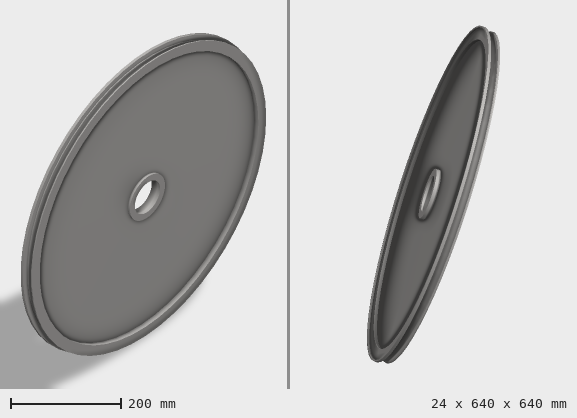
import cadquery as cq

width = 24.0
outer_radius = 320.0
right_flange_radius = 316.0

left_flange_width = 6.0
right_flange_width = 4.0
lip_inner_radius = 317.1
lip_depth = 4.0
right_chamfer = 1.6
shoulder_radius = 309.0
shoulder_width = 2.0
groove_floor_radius = 299.5

rim_inner_radius = 295.0
hub_radius = 47.5
bore_radius = 34.0
recess_depth_at_rim = 10.0
recess_depth_at_hub = 9.0
hub_setback = 4.0

left_face = -width / 2
right_face = width / 2
groove_left = left_face + left_flange_width
groove_right = right_face - right_flange_width
groove_start = groove_left + shoulder_width
groove_middle = (groove_start + groove_right) / 2
groove_edge_radius = groove_floor_radius + (groove_right - groove_start) / 2


def make_wheel():
    """Revolve the solid disc and its grooved rim about the X axis."""
    profile = (
        cq.Workplane("XY")
        .moveTo(left_face, bore_radius)
        .lineTo(left_face, hub_radius)
        .lineTo(left_face + lip_depth, hub_radius)
        .lineTo(left_face + lip_depth, lip_inner_radius)
        .lineTo(left_face, lip_inner_radius)
        .lineTo(left_face, outer_radius)
        .lineTo(groove_left, outer_radius)
        .lineTo(groove_left, shoulder_radius)
        .lineTo(groove_start, shoulder_radius)
        .lineTo(groove_start, groove_edge_radius)
        .threePointArc((groove_middle, groove_floor_radius), (groove_right, groove_edge_radius))
        .lineTo(groove_right, right_flange_radius - right_chamfer)
        .lineTo(groove_right + right_chamfer, right_flange_radius)
        .lineTo(right_face, right_flange_radius)
        .lineTo(right_face, bore_radius)
        .close()
    )
    return profile.revolve(360, (0, 0, 0), (1, 0, 0))


def make_recess(face, inward):
    """Make the ring between hub and rim, deeper at the rim so the web thins slightly outward."""
    profile = (
        cq.Workplane("XY")
        .moveTo(face, hub_radius)
        .lineTo(face + inward * recess_depth_at_hub, hub_radius)
        .lineTo(face + inward * recess_depth_at_rim, rim_inner_radius)
        .lineTo(face, rim_inner_radius)
        .close()
    )
    return profile.revolve(360, (0, 0, 0), (1, 0, 0))


def make_hub_setback():
    """Make the disc that sets the right end of the hub back from the rim face."""
    return cq.Workplane("YZ", origin=(right_face - hub_setback, 0, 0)).circle(hub_radius).extrude(hub_setback)


result = make_wheel()
for face, inward in ((left_face, 1), (right_face, -1)):
    result = result.cut(make_recess(face, inward))
result = result.cut(make_hub_setback())